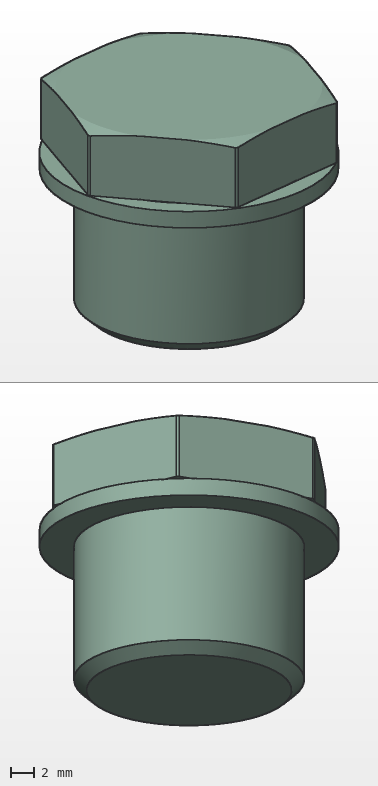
import cadquery as cq
import math

total_height = 21.0

head_height = 6.02
head_across_flats = 22.8
head_corner_diameter = 26.18
head_top_diameter = 23.17
head_bevel_angle = 14.0

neck_diameter = 22.38
neck_height = 0.15

collar_diameter = 26.0
collar_thickness = 1.55

plug_diameter = 20.0
plug_bevel_height = 1.0
plug_bevel_width = 1.1

head_bottom = total_height - head_height
collar_top = head_bottom - neck_height
collar_bottom = collar_top - collar_thickness


def make_body():
    """Plug, collar and neck revolved about Z, reaching up to the head."""
    plug_radius = plug_diameter / 2
    collar_radius = collar_diameter / 2
    neck_radius = neck_diameter / 2
    half_profile = [
        (0, 0),
        (plug_radius - plug_bevel_width, 0),
        (plug_radius, plug_bevel_height),
        (plug_radius, collar_bottom),
        (collar_radius, collar_bottom),
        (collar_radius, collar_top),
        (neck_radius, collar_top),
        (neck_radius, head_bottom),
        (0, head_bottom),
    ]
    return cq.Workplane("XZ").polyline(half_profile).close().revolve(360, (0, 0), (0, 1))


def make_head():
    """Hexagon with corners on the Y axis, trimmed by a bevelled cylinder."""
    across_corners = head_across_flats / math.cos(math.radians(30))
    hexagon = (
        cq.Workplane("XY")
        .workplane(offset=head_bottom)
        .transformed(rotate=(0, 0, 90))
        .polygon(6, across_corners)
        .extrude(head_height)
    )

    corner_radius = head_corner_diameter / 2
    top_radius = head_top_diameter / 2
    bevel_drop = (corner_radius - top_radius) * math.tan(math.radians(head_bevel_angle))
    half_profile = [
        (0, head_bottom),
        (corner_radius, head_bottom),
        (corner_radius, total_height - bevel_drop),
        (top_radius, total_height),
        (0, total_height),
    ]
    turned_blank = cq.Workplane("XZ").polyline(half_profile).close().revolve(360, (0, 0), (0, 1))
    return hexagon.intersect(turned_blank)


result = make_body().union(make_head())